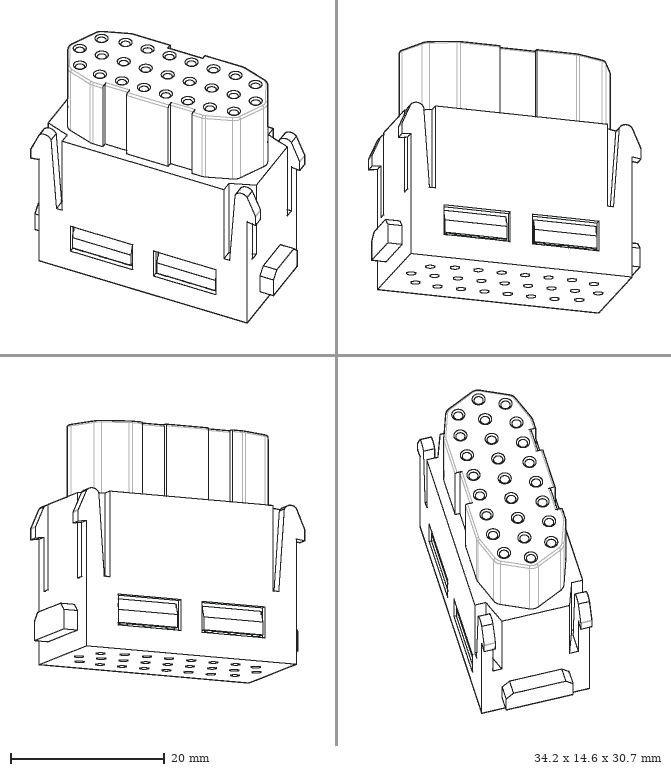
import cadquery as cq
import math

overall_length = 34.2

body_length = 30.25
body_width = 14.6
body_height = 20.83

insert_top = 30.7
insert_width = 12.05
insert_flat_half = 8.17
shoulder_x = 12.3
shoulder_y = 4.58
tip_x = 14.55
insert_corner_radius = 1.37
insert_edge_radius = 0.27

keyway_depth = 0.65
rear_key_width = 5.05
front_key_width = 3.45
front_key_x = 4.75

hole_diameter = 1.2
countersink_diameter = 1.7
countersink_angle = 90
middle_row_count = 9
middle_row_length = 25.58
contact_pitch = middle_row_length / (middle_row_count - 1)
outer_row_count = 6
outer_row_y = 3.8

notch_wall_x = 11.75
notch_floor = 9.47
notch_inner_y = 5.8
notch_side_y = 4.58
latch_inner_y = 5.78
latch_foot_x = 12.6
latch_neck_x = 13.37
latch_neck_z = 20.5
latch_top = 21.07
latch_crown_x = 14.25
latch_shoulder_z = 20.7
hook_x = 16.35
hook_top = 17.95
hook_bottom = 16.5
hook_undercut = 0.17
hook_radius = 0.25

lug_reach = (overall_length - body_length) / 2
lug_bottom = 2.55
lug_top = 6.15
lug_chamfer = 1.0
left_lug_width = 9.05
right_lug_width = 7.05

window_inner_x = 1.55
window_outer_x = 10.57
window_bottom = 3.15
window_top = 7.25
wedge_inner_x = 1.88
wedge_outer_x = 10.4
wedge_bottom = 3.55
wedge_break = 5.25
wedge_top = 6.77
wedge_recess = 0.25
wedge_slope_depth = 0.5
window_depth = wedge_recess + wedge_slope_depth
rib_width = 1.05
rib_height = 0.25
rib_setback = 0.25
rib_positions = (2.77, 6.12, 9.55)


def block(x_min, x_max, y_min, y_max, z_min, z_max):
    """Rectangular block between the given limits."""
    size = (x_max - x_min, y_max - y_min, z_max - z_min)
    return cq.Workplane("XY").box(*size, centered=False).translate((x_min, y_min, z_min))


def mirrored_in_x(shape):
    return shape.union(shape.mirror("YZ"))


def mirrored_in_y(shape):
    return shape.union(shape.mirror("XZ"))


def keyway_cutter(center_x, width):
    """Groove in the -Y side of the insert whose floor rounds over into the top face."""
    floor_y = -insert_width / 2 + keyway_depth
    open_y = -insert_width
    start = center_x - width / 2
    profile = (
        cq.Workplane("YZ")
        .workplane(offset=start)
        .moveTo(open_y, body_height)
        .lineTo(floor_y, body_height)
        .lineTo(floor_y, insert_top - insert_edge_radius)
        .radiusArc((floor_y + insert_edge_radius, insert_top), insert_edge_radius)
        .lineTo(open_y, insert_top)
        .close()
    )
    return profile.extrude(width)


def make_insert():
    """Rounded ten-sided prism with two front keyways and one rear keyway."""
    half_width = insert_width / 2
    quarter = [(insert_flat_half, half_width), (shoulder_x, shoulder_y), (tip_x, 0)]
    lower_right = [(x, -y) for x, y in quarter[-2::-1]]
    right_half = quarter + lower_right
    left_half = [(-x, -y) for x, y in right_half]
    insert = cq.Workplane("XY").polyline(right_half + left_half).close().extrude(insert_top)
    insert = insert.edges("|Z").fillet(insert_corner_radius)
    insert = insert.faces(">Z").edges().fillet(insert_edge_radius)
    insert = insert.cut(keyway_cutter(-front_key_x, front_key_width))
    insert = insert.cut(keyway_cutter(front_key_x, front_key_width))
    return insert.cut(keyway_cutter(0, rear_key_width).mirror("XZ"))


def row_positions(count):
    """X positions of a centred row of contacts."""
    return [(i - (count - 1) / 2) * contact_pitch for i in range(count)]


def contact_points():
    """Middle row plus two outer rows, whose end contacts sit one pitch off centre."""
    points = [(x, 0) for x in row_positions(middle_row_count)]
    end_x = (outer_row_count + 1) / 2 * contact_pitch
    for side in (-1, 1):
        points += [(x, side * outer_row_y) for x in row_positions(outer_row_count)]
        points += [(x, side * contact_pitch) for x in (-end_x, end_x)]
    return points


def corner_notch():
    """Clearance around one latch, open to the top, the end and the side."""
    half_length = body_length / 2
    half_width = body_width / 2
    outline = [
        (notch_wall_x, half_width),
        (notch_wall_x, notch_inner_y),
        (half_length, notch_side_y),
        (half_length, half_width),
    ]
    notch = cq.Workplane("XY").workplane(offset=notch_floor).polyline(outline).close()
    return notch.extrude(body_height - notch_floor)


def corner_latch():
    """Tapered spring arm with a round head and an outward hook."""
    half_length = body_length / 2
    profile = (
        cq.Workplane("XZ", origin=(0, body_width / 2, 0))
        .moveTo(latch_foot_x, notch_floor)
        .lineTo(latch_neck_x, latch_neck_z)
        .threePointArc((latch_crown_x, latch_top), (half_length, latch_shoulder_z))
        .lineTo(hook_x, hook_top)
        .lineTo(hook_x, hook_bottom)
        .lineTo(half_length, hook_bottom + hook_undercut)
        .lineTo(half_length, notch_floor)
        .close()
    )
    latch = profile.extrude(body_width / 2 - latch_inner_y)

    def at_hook_top(edge):
        center = edge.Center()
        return math.isclose(center.x, hook_x) and math.isclose(center.z, hook_top)

    return latch.edges("|Y").filter(at_hook_top).fillet(hook_radius)


def right_lug(width):
    """Guide lug on the +X end with both upper corners chamfered."""
    start = body_length / 2
    lug = block(start, start + lug_reach, -width / 2, width / 2, lug_bottom, lug_top)
    return lug.faces(">Z").edges("|X").chamfer(lug_chamfer)


def window_recess():
    """Pocket of the right-hand window in the -Y side, leaving its wedge and ribs."""
    face_y = -body_width / 2
    floor_y = face_y + window_depth
    front_y = face_y + wedge_recess
    recess = block(window_inner_x, window_outer_x, face_y, floor_y, window_bottom, window_top)
    wedge_profile = [
        (floor_y, wedge_bottom),
        (front_y, wedge_bottom),
        (front_y, wedge_break),
        (floor_y, wedge_top),
    ]
    wedge = cq.Workplane("YZ").workplane(offset=wedge_inner_x).polyline(wedge_profile).close()
    recess = recess.cut(wedge.extrude(wedge_outer_x - wedge_inner_x))
    for x in rib_positions:
        rib_bottom = wedge_bottom - rib_height
        x_min = x - rib_width / 2
        x_max = x + rib_width / 2
        rib = block(x_min, x_max, front_y + rib_setback, floor_y, rib_bottom, wedge_bottom)
        recess = recess.cut(rib)
    return recess


housing = cq.Workplane("XY").box(body_length, body_width, body_height, centered=(True, True, False))
housing = housing.cut(mirrored_in_y(mirrored_in_x(window_recess())))
housing = housing.cut(mirrored_in_y(mirrored_in_x(corner_notch())))
housing = housing.union(mirrored_in_y(mirrored_in_x(corner_latch())))
housing = housing.union(right_lug(right_lug_width))
housing = housing.union(right_lug(left_lug_width).mirror("YZ"))

result = (
    housing.union(make_insert())
    .faces(">Z")
    .workplane(origin=(0, 0, 0))
    .pushPoints(contact_points())
    .cskHole(hole_diameter, countersink_diameter, countersink_angle)
)